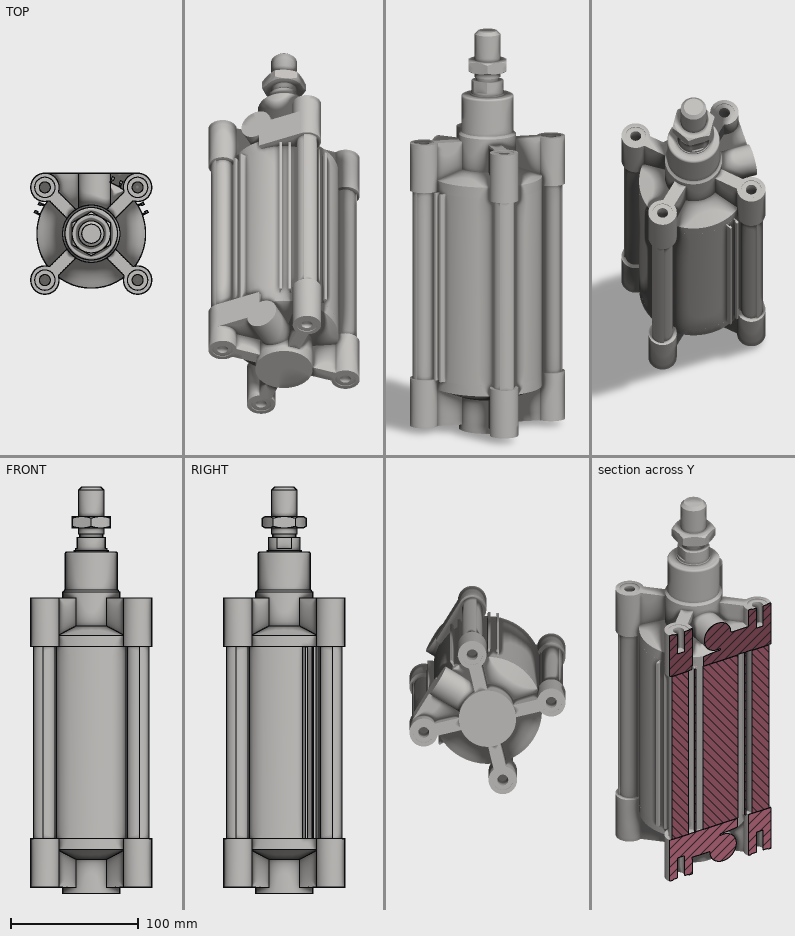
import cadquery as cq
import math


TOTAL_HEIGHT = 318.5
REAR_SPIGOT_LENGTH = 4.8
CAP_HEIGHT = 38.2
BARREL_LENGTH = 150.3
BARREL_BOTTOM = REAR_SPIGOT_LENGTH + CAP_HEIGHT
BARREL_TOP = BARREL_BOTTOM + BARREL_LENGTH
FRONT_CAP_TOP = BARREL_TOP + CAP_HEIGHT

CORNER_OFFSET = 36.3
CORNERS = [(sx * CORNER_OFFSET, sy * CORNER_OFFSET) for sx in (-1, 1) for sy in (-1, 1)]

BOSS_RADIUS = 11.0
SQUARE_HALF_WIDTH = CORNER_OFFSET + BOSS_RADIUS
FLANGE_RADIUS = 42.7
FLANGE_HEIGHT = 8.5
HUB_DIAMETER = 45.0
HUB_RADIUS = HUB_DIAMETER / 2
CONE_TOP = 16.2
RIB_WIDTH = 10.0
PORT_DIAMETER = 25.0
PORT_HEIGHT = 23.0
PORT_OFFSET = 2.5
SCREW_HOLE_DIAMETER = 8.5
SCREW_HOLE_DEPTH = 19
SCREW_RECESS_DIAMETER = 16
SCREW_RECESS_DEPTH = 0.5

HUB_STEP = 6.5
HUB_CHAMFER = 2.0
COLLAR_DIAMETER = 41.0
COLLAR_TOP = 267.5
COLLAR_FILLET = 1.5
WIPER_RADIUS = 13.5
WIPER_HEIGHT = 1.0

BARREL_RADIUS = 42.7
LOBE_RADIUS = 9.2
LOBE_CORE_RADIUS = 8.0
LOBE_FLUTE_EDGE = 1.5
RAIL_ANGLE = 25.8
RAIL_TIP = 47.5
RAIL_FOOT = 39.8
RAIL_WIDTH = 9.0
RAIL_SLOT_WIDTH = 5.0
RAIL_SLOT_FLOOR = 42.7
RAIL_LIP_THICKNESS = 2.2
RAIL_WALL = 1.0

ROD_DIAMETER = 25.0
ROD_FLATS_WIDTH = 22.0
ROD_FLATS_BOTTOM = 270.5
ROD_SHOULDER = 279.0
NECK_DIAMETER = 18.0
NECK_TOP = 281.5
THREAD_DIAMETER = 20.0
ROD_CHAMFER = 2.5

NUT_BOTTOM = 286.3
NUT_THICKNESS = 9.0
NUT_ACROSS_FLATS = 30.0
NUT_CHAMFER_ANGLE = 30


def cylinder(diameter, bottom, top):
    """Cylinder on the Z axis between two heights."""
    return cq.Workplane("XY").workplane(offset=bottom).circle(diameter / 2).extrude(top - bottom)


def cap_core(spigot):
    """Flange, cone and hub as one turned shape; the hub stands above the cap by the spigot length."""
    hub_top = CAP_HEIGHT + spigot
    outline = [
        (0, 0),
        (FLANGE_RADIUS, 0),
        (FLANGE_RADIUS, FLANGE_HEIGHT),
        (HUB_RADIUS, CONE_TOP),
        (HUB_RADIUS, hub_top),
        (0, hub_top),
    ]
    return cq.Workplane("XZ").polyline(outline).close().revolve(360, (0, 0), (0, 1))


def cap_ribs():
    """Two crossing diagonal ribs that join the corner bosses through the hub."""
    rib_length = 2 * math.hypot(CORNER_OFFSET, CORNER_OFFSET)
    rib = cq.Workplane("XY").box(rib_length, RIB_WIDTH, CAP_HEIGHT, centered=(True, True, False))
    return rib.rotate((0, 0, 0), (0, 0, 1), 45).union(rib.rotate((0, 0, 0), (0, 0, 1), -45))


def port_block():
    """Round port towards +Y, set off towards +X, with the flat-topped block that fills its -X side."""
    port = cq.Workplane("XZ").center(PORT_OFFSET, PORT_HEIGHT).circle(PORT_DIAMETER / 2)
    port = port.extrude(-SQUARE_HALF_WIDTH)
    block_outline = [
        (0, 0),
        (0, SQUARE_HALF_WIDTH),
        (-CORNER_OFFSET, SQUARE_HALF_WIDTH),
        (-CORNER_OFFSET, CORNER_OFFSET),
    ]
    block = cq.Workplane("XY").polyline(block_outline).close().extrude(PORT_HEIGHT)
    return port.union(block)


def make_cap(spigot):
    """Cap with its inner face at Z = 0 and its outer side towards +Z."""
    bosses = cq.Workplane("XY").pushPoints(CORNERS).circle(BOSS_RADIUS).extrude(CAP_HEIGHT)
    cap = cap_core(spigot).union(cap_ribs()).union(port_block()).union(bosses)
    outer_face = cq.Workplane("XY").workplane(offset=CAP_HEIGHT).pushPoints(CORNERS)
    recesses = outer_face.circle(SCREW_RECESS_DIAMETER / 2).extrude(-SCREW_RECESS_DEPTH)
    holes = outer_face.circle(SCREW_HOLE_DIAMETER / 2).extrude(-SCREW_HOLE_DEPTH)
    return cap.cut(recesses).cut(holes)


def make_rear_cap():
    """Cap turned over about Y, so that its port stays on the +Y side."""
    cap = make_cap(REAR_SPIGOT_LENGTH)
    return cap.rotate((0, 0, 0), (0, 1, 0), 180).translate((0, 0, BARREL_BOTTOM))


def make_front_cap():
    """Cap with the guide collar and wiper lip, bored through for the rod."""
    cap = make_cap(HUB_STEP).translate((0, 0, BARREL_TOP))
    cap = cap.faces(">Z").edges().chamfer(HUB_CHAMFER)
    collar = cylinder(COLLAR_DIAMETER, FRONT_CAP_TOP, COLLAR_TOP).faces(">Z").edges().fillet(COLLAR_FILLET)
    wiper = cylinder(2 * WIPER_RADIUS, COLLAR_TOP, COLLAR_TOP + WIPER_HEIGHT)
    rod_bore = cylinder(ROD_DIAMETER, BARREL_TOP, TOTAL_HEIGHT)
    return cap.union(collar).union(wiper).cut(rod_bore)


def barrel_lobe():
    """Round lobe of the corner at +X +Y, fluted on the two flanks beside its diagonal."""
    lobe = cq.Workplane("XY").circle(LOBE_RADIUS).extrude(BARREL_LENGTH)
    edge = LOBE_FLUTE_EDGE
    core = LOBE_CORE_RADIUS
    reach = LOBE_RADIUS + edge
    flute = (
        cq.Workplane("XY")
        .moveTo(-edge, core)
        .lineTo(0, core)
        .radiusArc((core, 0), core)
        .lineTo(core, -edge)
        .lineTo(reach, -edge)
        .lineTo(reach, reach)
        .lineTo(-edge, reach)
        .close()
        .extrude(BARREL_LENGTH)
    )
    for angle in (90, -90):
        lobe = lobe.cut(flute.rotate((0, 0, 0), (0, 0, 1), angle))
    return lobe.translate((CORNER_OFFSET, CORNER_OFFSET, 0))


def rail_bar(start, end, width):
    """Rectangular bar along the barrel between two distances from the axis on +X."""
    bar = cq.Workplane("XY").box(end - start, width, BARREL_LENGTH, centered=(False, True, False))
    return bar.translate((start, 0, 0))


def sensor_rail():
    """Sensor rail with a T-slot that stands out along +X."""
    rail = rail_bar(RAIL_FOOT, RAIL_TIP, RAIL_WIDTH)
    mouth = rail_bar(RAIL_SLOT_FLOOR, RAIL_TIP, RAIL_SLOT_WIDTH)
    undercut = rail_bar(RAIL_SLOT_FLOOR, RAIL_TIP - RAIL_LIP_THICKNESS, RAIL_WIDTH - 2 * RAIL_WALL)
    return rail.cut(mouth).cut(undercut)


def make_barrel():
    """Round barrel with four corner lobes and a pair of sensor rails beside each +Y lobe."""
    barrel = cq.Workplane("XY").circle(BARREL_RADIUS).extrude(BARREL_LENGTH)
    for quarter in range(4):
        barrel = barrel.union(barrel_lobe().rotate((0, 0, 0), (0, 0, 1), 90 * quarter))
    for angle in (RAIL_ANGLE, 90 - RAIL_ANGLE, 90 + RAIL_ANGLE, 180 - RAIL_ANGLE):
        barrel = barrel.union(sensor_rail().rotate((0, 0, 0), (0, 0, 1), angle))
    return barrel.translate((0, 0, BARREL_BOTTOM))


def make_rod():
    """Piston rod with wrench flats on its X sides, an undercut neck and a plain threaded end."""
    rod = cylinder(ROD_DIAMETER, BARREL_TOP, ROD_SHOULDER)
    flats_height = ROD_SHOULDER - ROD_FLATS_BOTTOM
    for side in (-1, 1):
        cutter = cq.Workplane("XY").box(ROD_DIAMETER, ROD_DIAMETER, flats_height, centered=(True, True, False))
        offset = side * (ROD_FLATS_WIDTH + ROD_DIAMETER) / 2
        rod = rod.cut(cutter.translate((offset, 0, ROD_FLATS_BOTTOM)))
    neck = cylinder(NECK_DIAMETER, ROD_SHOULDER, NECK_TOP)
    thread = cylinder(THREAD_DIAMETER, NECK_TOP, TOTAL_HEIGHT).faces(">Z").edges().chamfer(ROD_CHAMFER)
    return rod.union(neck).union(thread)


def make_nut():
    """Hexagon nut with corners on Y, its corners bevelled at both ends."""
    corner_radius = NUT_ACROSS_FLATS / 2 / math.cos(math.pi / 6)
    bevel_width = corner_radius - NUT_ACROSS_FLATS / 2
    bevel_height = bevel_width * math.tan(math.radians(NUT_CHAMFER_ANGLE))
    hexagon = cq.Workplane("XY").polygon(6, 2 * corner_radius).extrude(NUT_THICKNESS)
    hexagon = hexagon.rotate((0, 0, 0), (0, 0, 1), 90)
    envelope = cylinder(2 * corner_radius, 0, NUT_THICKNESS)
    envelope = envelope.faces("|Z").edges().chamfer(bevel_height, bevel_width)
    hole = cylinder(THREAD_DIAMETER, 0, NUT_THICKNESS)
    return hexagon.intersect(envelope).cut(hole).translate((0, 0, NUT_BOTTOM))


rear_cap = make_rear_cap()
barrel = make_barrel()
front_cap = make_front_cap()
rod = make_rod()
nut = make_nut()

result = cq.Compound.makeCompound(
    [rear_cap.val(), barrel.val(), front_cap.val(), rod.val(), nut.val()]
)